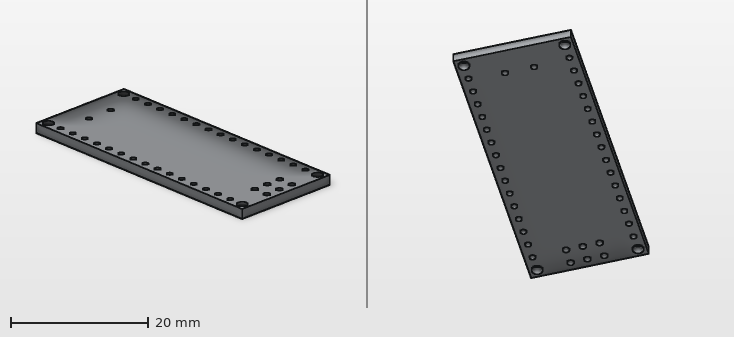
import cadquery as cq

PITCH = 2.54
LENGTH = 17 * PITCH
WIDTH = 7 * PITCH
THICKNESS = 1.6

MOUNT_DIAMETER = 1.65
MOUNT_INSET = PITCH / 2

HEADER_DIAMETER = 0.91
HEADER_COUNT = 15
HEADER_ROW_SPACING = WIDTH - PITCH

CONNECTOR_DIAMETER = 1.02
CONNECTOR_COLUMNS = 2
CONNECTOR_ROWS = 3
CONNECTOR_CENTER_INSET = 2.64

LOCATOR_DIAMETER = 0.95
LOCATOR_SPACING = 4.4
LOCATOR_INSET = 4.16


def grid(columns, rows, step_x, step_y, center_x=0):
    """Hole centres of a rectangular grid centred on y = 0."""
    return [
        (center_x + (i - (columns - 1) / 2) * step_x, (j - (rows - 1) / 2) * step_y)
        for i in range(columns)
        for j in range(rows)
    ]


def drill(board, centers, diameter):
    """Drill through holes at the given centres."""
    return board.faces(">Z").workplane(origin=(0, 0, 0)).pushPoints(centers).hole(diameter)


mount_centers = grid(2, 2, LENGTH - 2 * MOUNT_INSET, WIDTH - 2 * MOUNT_INSET)
header_centers = grid(HEADER_COUNT, 2, PITCH, HEADER_ROW_SPACING)
connector_center_x = LENGTH / 2 - CONNECTOR_CENTER_INSET
connector_centers = grid(CONNECTOR_COLUMNS, CONNECTOR_ROWS, PITCH, PITCH, connector_center_x)
locator_centers = grid(1, 2, 0, LOCATOR_SPACING, LOCATOR_INSET - LENGTH / 2)

result = cq.Workplane("XY").box(LENGTH, WIDTH, THICKNESS)
result = drill(result, mount_centers, MOUNT_DIAMETER)
result = drill(result, header_centers, HEADER_DIAMETER)
result = drill(result, connector_centers, CONNECTOR_DIAMETER)
result = drill(result, locator_centers, LOCATOR_DIAMETER)